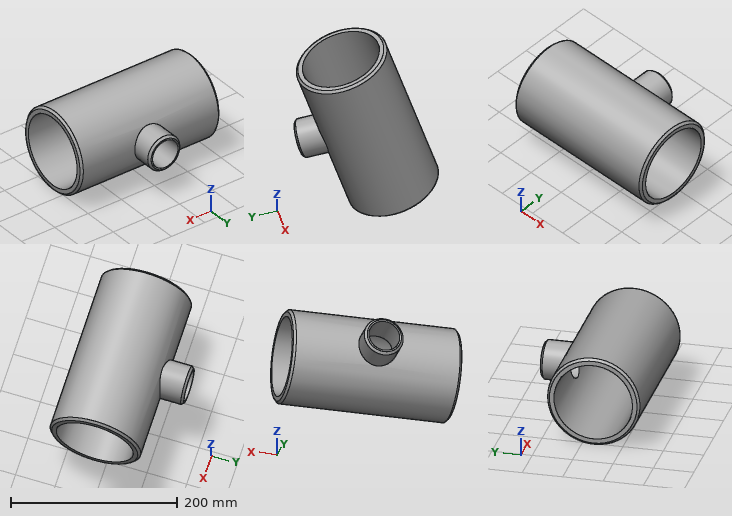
import cadquery as cq

run_length = 209.3
run_diameter = 114.3
run_wall = 8.5
branch_diameter = 48.3
branch_wall = 5.0
branch_reach = 85.8
end_bevel = 3.0

run_radius = run_diameter / 2
branch_radius = branch_diameter / 2


def run_cylinder(radius):
    """Cylinder along X, centred on the origin."""
    return cq.Workplane("YZ").circle(radius).extrude(run_length / 2, both=True)


def branch_cylinder(radius):
    """Cylinder from the run axis to the branch end."""
    return cq.Workplane("XZ").circle(radius).extrude(-branch_reach)


run = run_cylinder(run_radius).faces("<X or >X").chamfer(end_bevel)
branch = branch_cylinder(branch_radius).faces(">Y").chamfer(end_bevel)

run_bore = run_cylinder(run_radius - run_wall)
branch_bore = branch_cylinder(branch_radius - branch_wall)

result = run.union(branch).cut(run_bore).cut(branch_bore)